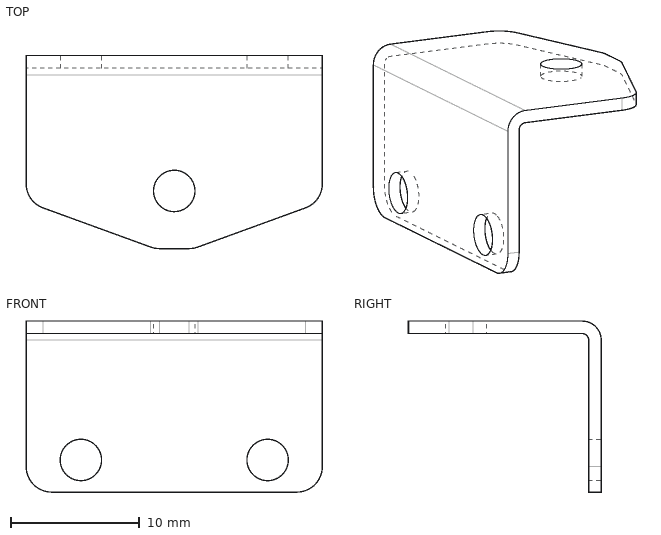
import cadquery as cq
import math

width = 23.0
depth = 15.0
height = 13.3

thickness = 1.0
bend_inner_radius = 0.5
bend_outer_radius = bend_inner_radius + thickness

corner_radius = 2.0
tip_width = 3.0
taper_angle = 20.0

hole_diameter = 3.2
wall_hole_spacing = 14.5
wall_hole_height = 2.5
shelf_hole_setback = 10.5

half_width = width / 2
half_tip = tip_width / 2
taper_depth = (half_width - half_tip) * math.tan(math.radians(taper_angle))
shoulder_y = -depth + taper_depth


def make_bent_sheet():
    """L-shaped sheet with concentric inner and outer bend radii."""
    profile = (
        cq.Workplane("YZ")
        .polyline([
            (0, 0),
            (0, height),
            (-depth, height),
            (-depth, height - thickness),
            (-thickness, height - thickness),
            (-thickness, 0),
        ])
        .close()
    )
    sheet = profile.extrude(half_width, both=True)
    sheet = sheet.edges("|X and >Y and >Z").fillet(bend_outer_radius)
    inner_corner = cq.selectors.NearestToPointSelector((0, -thickness, height - thickness))
    return sheet.edges("|X").edges(inner_corner).fillet(bend_inner_radius)


def make_shelf_envelope():
    """Full-height prism with the tapered, rounded outline of the shelf."""
    return (
        cq.Workplane("XY")
        .polyline([
            (-half_width, 0),
            (-half_width, shoulder_y),
            (-half_tip, -depth),
            (half_tip, -depth),
            (half_width, shoulder_y),
            (half_width, 0),
        ])
        .close()
        .extrude(height)
        .edges("|Z and (not >Y)")
        .fillet(corner_radius)
    )


def make_wall_envelope():
    """Full-depth prism with the two rounded lower corners of the wall."""
    return (
        cq.Workplane("XZ")
        .rect(width, height)
        .extrude(depth)
        .translate((0, 0, height / 2))
        .edges("|Y and <Z")
        .fillet(corner_radius)
    )


def cut_holes(bracket):
    """Two holes through the wall and one through the shelf."""
    hole_radius = hole_diameter / 2
    half_spacing = wall_hole_spacing / 2
    wall_holes = (
        cq.Workplane("XZ")
        .pushPoints([(-half_spacing, wall_hole_height), (half_spacing, wall_hole_height)])
        .circle(hole_radius)
        .extrude(thickness)
    )
    shelf_hole = (
        cq.Workplane("XY", origin=(0, 0, height - thickness))
        .center(0, -shelf_hole_setback)
        .circle(hole_radius)
        .extrude(thickness)
    )
    return bracket.cut(wall_holes).cut(shelf_hole)


blank = make_bent_sheet().intersect(make_shelf_envelope()).intersect(make_wall_envelope())
result = cut_holes(blank)